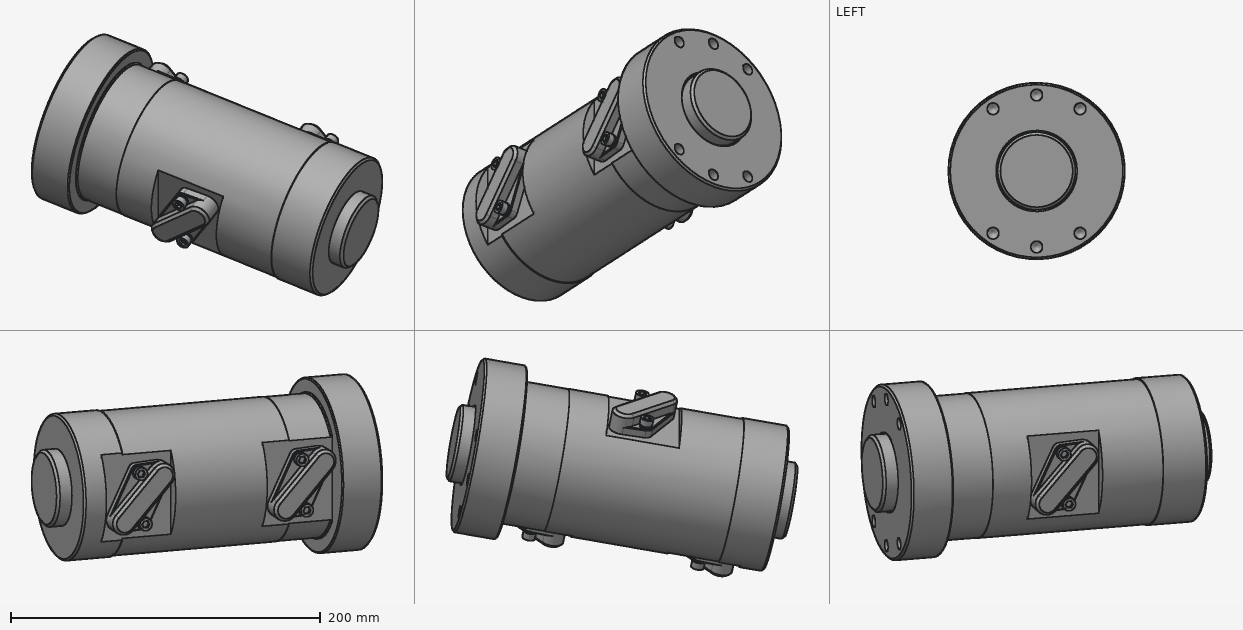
import cadquery as cq
import math

total_length = 222.0
flange_start = 9.5
flange_end = 37.7
neck_end = 38.8
collar_end = 67.3
body_end = 182.0
cap_end = 212.0

shaft_radius = 25.0
flange_radius = 57.0
collar_radius = 46.8
body_radius = 47.0
cap_radius = 47.7

shaft_chamfer = 1.8
flange_front_chamfer = 1.3
flange_back_chamfer = 0.9
cap_chamfer = 1.3
bore_chamfer = 1.0

bolt_circle_radius = 49.0
bolt_hole_radius = 3.8
bolt_hole_depth = 20.0
drill_tip_depth = 2.2
bolt_spread = 35.0
bolt_angles = [side + step * bolt_spread for side in (90, 270) for step in (-1, 0, 1)]

flat_distance = 38.0
flat_length = 48.0
rear_pitch = 111.0
rear_first_x = flange_end + flat_length / 2
rear_clamp_x = [rear_first_x, rear_first_x + rear_pitch]
front_clamp_x = rear_first_x + rear_pitch / 2
clamp_shift = -0.9

plate_thickness = 5.8
plate_chamfer = 0.7
bar_half_span = 19.8
bar_angle = 47.6
bar_radius = 8.0
bar_height = 14.0
bar_chamfer = 2.0
screw_x = -1.5
screw_z = 16.9
screw_radius = 4.2
screw_neck_radius = 3.8
screw_neck_height = 1.3
screw_corner_radius = 4.9
screw_top = bar_height - bar_chamfer
socket_across_corners = 5.0
socket_sides = 6
socket_depth = 2.2


def make_disc(start, end, radius):
    return cq.Workplane("YZ", origin=(start, 0, 0)).circle(radius).extrude(end - start)


def make_barrel():
    shaft = make_disc(0, total_length, shaft_radius).faces("<X or >X").chamfer(shaft_chamfer)
    flange = make_disc(flange_start, flange_end, flange_radius)
    flange = flange.faces("<X").chamfer(flange_front_chamfer).faces(">X").chamfer(flange_back_chamfer)
    bore_mouth = flange_start + bore_chamfer
    countersink = (
        cq.Workplane("XY")
        .moveTo(flange_start, shaft_radius)
        .lineTo(flange_start, shaft_radius + bore_chamfer)
        .lineTo(bore_mouth, shaft_radius)
        .close()
        .revolve(360, (0, 0, 0), (1, 0, 0))
    )
    neck = make_disc(flange_end, neck_end, cap_radius).faces(">X").chamfer(cap_radius - collar_radius)
    collar = make_disc(neck_end, collar_end, collar_radius)
    body = make_disc(collar_end, body_end, body_radius)
    cap = make_disc(body_end, cap_end, cap_radius).faces(">X").chamfer(cap_chamfer)
    return flange.cut(countersink).union(shaft).union(neck).union(collar).union(body).union(cap)


def make_bolt_hole(angle):
    tip_x = flange_start + bolt_hole_depth + drill_tip_depth
    drill = (
        cq.Workplane("XY")
        .moveTo(flange_start, 0)
        .lineTo(flange_start, bolt_hole_radius)
        .lineTo(flange_start + bolt_hole_depth, bolt_hole_radius)
        .lineTo(tip_x, 0)
        .close()
        .revolve(360, (0, 0, 0), (1, 0, 0))
    )
    y = bolt_circle_radius * math.cos(math.radians(angle))
    z = bolt_circle_radius * math.sin(math.radians(angle))
    return drill.translate((0, y, z))


def make_flat():
    """Block that cuts one flat on the -Y side."""
    depth = cap_radius - flat_distance
    block = cq.Workplane("XY").box(flat_length, depth, 2 * cap_radius)
    return block.translate((0, -flat_distance - depth / 2, 0))


def tangent_points(first, second):
    """Ends of the outer tangent line of two circles (x, y, radius), on the left of the travel direction."""
    dx = second[0] - first[0]
    dy = second[1] - first[1]
    normal = math.atan2(dy, dx) + math.acos((first[2] - second[2]) / math.hypot(dx, dy))
    return [(x + r * math.cos(normal), y + r * math.sin(normal)) for x, y, r in (first, second)]


def corner_point(circle, before, after):
    """Middle of the arc of a circle between two of its points."""
    x, y, radius = circle
    dx = before[0] + after[0] - 2 * x
    dy = before[1] + after[1] - 2 * y
    size = math.hypot(dx, dy)
    return (x + radius * dx / size, y + radius * dy / size)


def make_plate(workplane):
    """Plate whose outline wraps tangentially round the bar ends and both screws."""
    bar_x = bar_half_span * math.cos(math.radians(bar_angle))
    bar_z = bar_half_span * math.sin(math.radians(bar_angle))
    circles = [
        (screw_x, screw_z, screw_corner_radius),
        (bar_x, bar_z, bar_radius),
        (-screw_x, -screw_z, screw_corner_radius),
        (-bar_x, -bar_z, bar_radius),
    ]
    count = len(circles)
    sides = [tangent_points(circles[i], circles[(i + 1) % count]) for i in range(count)]
    outline = workplane.moveTo(*sides[0][0])
    for i in range(count):
        corner = circles[(i + 1) % count]
        arrival = sides[i][1]
        departure = sides[(i + 1) % count][0]
        outline = outline.lineTo(*arrival).threePointArc(corner_point(corner, arrival, departure), departure)
    return outline.close().extrude(plate_thickness).faces("<Y").chamfer(plate_chamfer)


def make_clamp():
    """Clamp standing on a flat of the -Y side."""
    workplane = cq.Workplane("XZ", origin=(0, -flat_distance, 0))
    plate = make_plate(workplane)
    bar = (
        workplane.transformed(rotate=(0, 0, bar_angle))
        .slot2D(2 * (bar_half_span + bar_radius), 2 * bar_radius)
        .extrude(bar_height)
        .faces("<Y")
        .chamfer(bar_chamfer)
    )
    screw_centers = [(screw_x, screw_z), (-screw_x, -screw_z)]
    head_bottom = plate_thickness + screw_neck_height
    necks = workplane.pushPoints(screw_centers).circle(screw_neck_radius).extrude(screw_top)
    heads = (
        workplane.workplane(offset=head_bottom)
        .pushPoints(screw_centers)
        .circle(screw_radius)
        .extrude(screw_top - head_bottom)
    )
    sockets = (
        workplane.workplane(offset=screw_top - socket_depth)
        .pushPoints(screw_centers)
        .polygon(socket_sides, socket_across_corners)
        .extrude(socket_depth)
    )
    return plate.union(bar).union(necks).union(heads).cut(sockets)


def add_clamp_station(barrel, center_x, turn):
    """Cut a flat and stand a clamp on it, both turned about the vertical axis by the given degrees."""
    flat = make_flat().rotate((0, 0, 0), (0, 0, 1), turn)
    clamp = make_clamp().rotate((0, 0, 0), (0, 0, 1), turn)
    seated = barrel.cut(flat.translate((center_x, 0, 0)))
    return seated.union(clamp.translate((center_x + clamp_shift, 0, 0)))


result = make_barrel()
for bolt_angle in bolt_angles:
    result = result.cut(make_bolt_hole(bolt_angle))

result = add_clamp_station(result, front_clamp_x, 0)
for clamp_x in rear_clamp_x:
    result = add_clamp_station(result, clamp_x, 180)